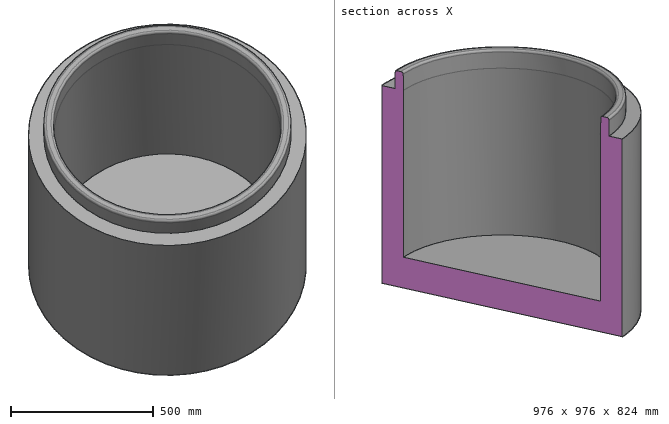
import cadquery as cq

body_diameter = 976.0
total_height = 824.0
base_thickness = 119.0

neck_height = 69.0
neck_diameter = 869.0
rim_round = 9.0

bore_diameter = 796.0
mouth_diameter = 800.0

shoulder_height = total_height - neck_height


def make_shell():
    """Solid cylinder with a narrower neck on top."""
    body = cq.Workplane("XY").circle(body_diameter / 2).extrude(shoulder_height)
    neck = (
        cq.Workplane("XY")
        .workplane(offset=shoulder_height)
        .circle(neck_diameter / 2)
        .extrude(neck_height)
    )
    return body.union(neck)


def make_cavity():
    """Revolved void standing on the base and widening towards the rim."""
    bore_radius = bore_diameter / 2
    return (
        cq.Workplane("XZ")
        .moveTo(0, base_thickness)
        .lineTo(bore_radius, base_thickness)
        .lineTo(bore_radius, shoulder_height)
        .lineTo(mouth_diameter / 2, total_height)
        .lineTo(0, total_height)
        .close()
        .revolve(360, (0, 0, 0), (0, 1, 0))
    )


result = make_shell().cut(make_cavity()).faces(">Z").edges().fillet(rim_round)